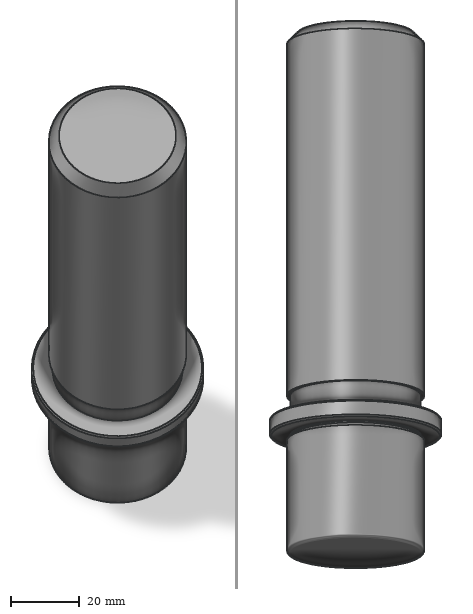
import cadquery as cq

total_length = 155.0
shank_length = 35.0
flange_thickness = 5.0
neck_length = 7.0
undercut_length = 0.5

pin_diameter = 40.0
neck_diameter = 38.0
flange_diameter = 50.0

tip_chamfer = 3.0
shank_top_chamfer = (pin_diameter - neck_diameter) / 2
shank_bottom_fillet = 1.0
flange_chamfer = 0.5

shank_shoulder = shank_length - undercut_length
flange_top = shank_length + flange_thickness
neck_top = flange_top + neck_length


def cylinder(diameter, bottom, top):
    """Upright cylinder on the Z axis between two heights."""
    return cq.Workplane("XY").workplane(offset=bottom).circle(diameter / 2).extrude(top - bottom)


def make_shank():
    """Lower fitting length: rounded at the bottom, chamfered down to the undercut at the top."""
    shank = cylinder(pin_diameter, 0, shank_shoulder)
    shank = shank.faces(">Z").edges().chamfer(shank_top_chamfer)
    return shank.faces("<Z").edges().fillet(shank_bottom_fillet)


def make_undercut():
    """Short relief directly below the flange, as narrow as the neck above it."""
    return cylinder(neck_diameter, shank_shoulder, shank_length)


def make_flange():
    """Collar with both outer rims broken."""
    return cylinder(flange_diameter, shank_length, flange_top).edges().chamfer(flange_chamfer)


def make_neck():
    """Relief groove between the flange and the guide length."""
    return cylinder(neck_diameter, flange_top, neck_top)


def make_guide():
    """Long guide length with a lead-in chamfer at the tip."""
    guide = cylinder(pin_diameter, neck_top, total_length)
    return guide.faces(">Z").edges().chamfer(tip_chamfer)


result = (
    make_shank()
    .union(make_undercut())
    .union(make_flange())
    .union(make_neck())
    .union(make_guide())
)